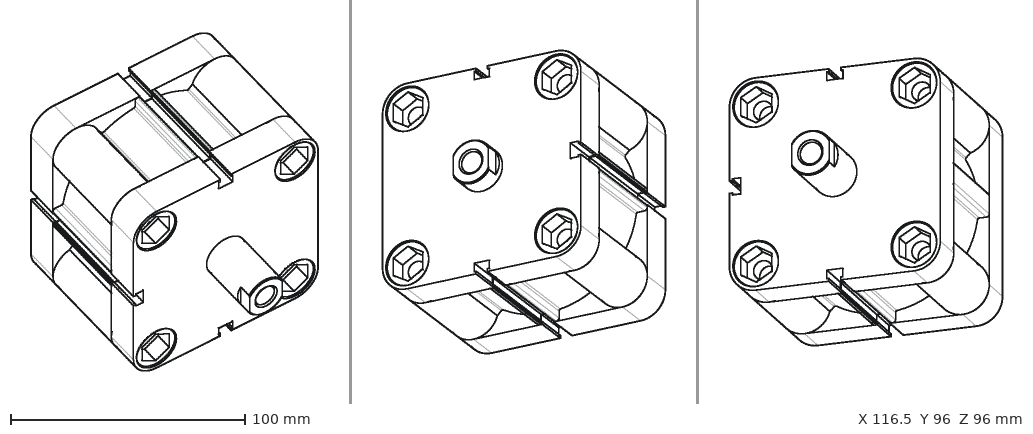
import cadquery as cq
import math

total_length = 116.5
front_rod_end = -total_length / 2
front_rod_stickout = 9.8
cover_thickness = 16.5
barrel_length = 43.6
front_face = front_rod_end + front_rod_stickout
barrel_start = front_face + cover_thickness
barrel_end = barrel_start + barrel_length
barrel_middle = (barrel_start + barrel_end) / 2

side = 96.0
half_side = side / 2
corner_radius = 12.0
bolt_offset = half_side - corner_radius

rod_radius = 10.0
rod_chamfer = 0.5
flat_half_width = 8.5
flat_length = 6.5
flat_shoulder_angle = 15.0
bore_radius = 4.9
bore_mouth_radius = 5.7
bore_depth = 19.8
bore_tip_angle = 59.0

bolt_hole_diameter = 8.5
hex_across_flats = 14.1
hex_depth = 9.0
rim_outer_radius = 10.4
rim_inner_radius = 10.0
rim_depth = 0.7

lip_height = 1.3
slot_opening = 5.6
cover_slot_width = 7.2
cover_slot_depth = 5.1
barrel_slot_width = 6.4
barrel_slot_depth = 4.7
barrel_slot_chamfer = 0.3

rail_width = 10.7
rail_edge_radius = 1.3
rail_root_radius = 0.8
tube_radius = 43.1
web_root_radius = 0.8
web_thickness = 21.1

slot_turns = [0, 90, 180]
corners = [(y, z) for y in (-bolt_offset, bolt_offset) for z in (-bolt_offset, bolt_offset)]


def section_at(x):
    """Sketch plane across the rod at x: local x is Y, local y is Z, normal is +X."""
    return cq.Workplane("YZ", origin=(x, 0, 0))


def add_holes(block, start, length):
    """Cut the rod hole and the four bolt holes through a block."""
    rod_hole = section_at(start).circle(rod_radius).extrude(length)
    bolt_holes = section_at(start).pushPoints(corners).circle(bolt_hole_diameter / 2).extrude(length)
    return block.cut(rod_hole).cut(bolt_holes)


def turned(shape, angle):
    """Turn a shape made on the top side (+Z) about the rod axis."""
    return shape.rotate((0, 0, 0), (1, 0, 0), angle)


def slot_cutter(start, length, width, depth):
    """Undercut sensor slot in the top side: a narrow mouth between lips over a wider channel."""
    channel_height = depth - lip_height
    channel_middle = half_side - lip_height - channel_height / 2
    channel = section_at(start).center(0, channel_middle).rect(width, channel_height).extrude(length)
    mouth = section_at(start).center(0, half_side - depth / 2).rect(slot_opening, depth).extrude(length)
    return channel.union(mouth)


def make_front_cover():
    cover = section_at(front_face).rect(side, side).extrude(cover_thickness)
    cover = cover.edges("|X").fillet(corner_radius)
    cover = add_holes(cover, front_face, cover_thickness)
    hexagon_corner = hex_across_flats / math.sqrt(3)
    hexagon = [
        (hexagon_corner * math.sin(math.radians(60 * i)), hexagon_corner * math.cos(math.radians(60 * i)))
        for i in range(6)
    ]
    for y, z in corners:
        socket = section_at(front_face).center(y, z).polyline(hexagon).close().extrude(hex_depth)
        rim = cq.Workplane(
            cq.Solid.makeCone(
                rim_outer_radius,
                rim_inner_radius,
                rim_depth,
                pnt=cq.Vector(front_face, y, z),
                dir=cq.Vector(1, 0, 0),
            )
        )
        cover = cover.cut(socket).cut(rim)
    slot = slot_cutter(front_face, cover_thickness, cover_slot_width, cover_slot_depth)
    for angle in slot_turns:
        cover = cover.cut(turned(slot, angle))
    return cover


def barrel_body():
    """Round tube with four slot rails, and four corner rounds joined to it by diagonal webs."""
    body = section_at(barrel_start).circle(tube_radius).extrude(barrel_length)
    body = body.union(section_at(barrel_start).pushPoints(corners).circle(corner_radius).extrude(barrel_length))
    web_reach = math.sqrt(corner_radius**2 - (web_thickness / 2) ** 2)
    web_span = 2 * (math.sqrt(2) * bolt_offset + web_reach)
    web = section_at(barrel_start).rect(web_thickness, web_span).extrude(barrel_length)
    rail = section_at(barrel_start).rect(rail_width, side).extrude(barrel_length)
    for angle in (0, 90):
        body = body.union(turned(web, angle + 45)).union(turned(rail, angle))
    return body


def fillet_along(body, y, z, radius):
    """Round the edge along X that passes closest to (y, z)."""
    edge = cq.selectors.NearestToPointSelector((barrel_middle, y, z))
    return body.edges("|X").edges(edge).fillet(radius)


def round_side(body):
    """Round the rail edges and the pocket roots of the top side."""
    rail_z = math.sqrt(tube_radius**2 - (rail_width / 2) ** 2)
    web_angle = math.radians(45) - math.asin(web_thickness / 2 / tube_radius)
    web_y = tube_radius * math.sin(web_angle)
    web_z = tube_radius * math.cos(web_angle)
    for hand in (-1, 1):
        rail_y = hand * rail_width / 2
        body = fillet_along(body, rail_y, half_side, rail_edge_radius)
        body = fillet_along(body, rail_y, rail_z, rail_root_radius)
        body = fillet_along(body, hand * web_y, web_z, web_root_radius)
    return body


def make_barrel():
    barrel = barrel_body()
    for _ in range(4):
        barrel = turned(round_side(barrel), 90)
    barrel = add_holes(barrel, barrel_start, barrel_length)
    slot = slot_cutter(barrel_start, barrel_length, barrel_slot_width, barrel_slot_depth)
    mouth = (
        section_at(barrel_start)
        .moveTo(-slot_opening / 2 - barrel_slot_chamfer, half_side)
        .lineTo(slot_opening / 2 + barrel_slot_chamfer, half_side)
        .lineTo(slot_opening / 2, half_side - barrel_slot_chamfer)
        .lineTo(-slot_opening / 2, half_side - barrel_slot_chamfer)
        .close()
        .extrude(barrel_length)
    )
    slot = slot.union(mouth)
    for angle in slot_turns:
        barrel = barrel.cut(turned(slot, angle))
    return barrel


def rod_end_cutter():
    """Wrench flats and centre bore at the -X end of the rod."""
    shoulder_run = (rod_radius - flat_half_width) * math.tan(math.radians(flat_shoulder_angle))
    flat_end = front_rod_end + flat_length
    flat = (
        cq.Workplane("XY", origin=(0, 0, -rod_radius))
        .moveTo(front_rod_end, flat_half_width)
        .lineTo(flat_end, flat_half_width)
        .lineTo(flat_end + shoulder_run, rod_radius)
        .lineTo(front_rod_end, rod_radius)
        .close()
        .extrude(2 * rod_radius)
    )
    mouth_depth = bore_mouth_radius - bore_radius
    tip_length = bore_radius / math.tan(math.radians(bore_tip_angle))
    bore = (
        cq.Workplane("XY")
        .moveTo(front_rod_end, 0)
        .lineTo(front_rod_end, bore_mouth_radius)
        .lineTo(front_rod_end + mouth_depth, bore_radius)
        .lineTo(front_rod_end + bore_depth, bore_radius)
        .lineTo(front_rod_end + bore_depth + tip_length, 0)
        .close()
        .revolve(360, (0, 0, 0), (1, 0, 0))
    )
    return flat.union(flat.mirror("XZ")).union(bore)


def make_rod():
    rod = section_at(front_rod_end).circle(rod_radius).extrude(total_length)
    rod = rod.faces("<X or >X").chamfer(rod_chamfer)
    end_cut = rod_end_cutter()
    return rod.cut(end_cut).cut(end_cut.mirror("YZ"))


front_cover = make_front_cover()
rear_cover = front_cover.mirror("YZ", (barrel_middle, 0, 0))
barrel = make_barrel()
rod = make_rod()

result = cq.Compound.makeCompound([front_cover.val(), barrel.val(), rear_cover.val(), rod.val()])